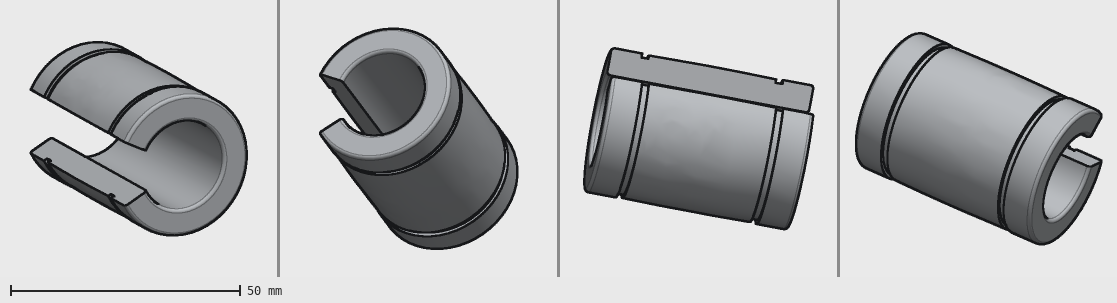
import cadquery as cq
import math

length = 45.0
outer_diameter = 32.0
bore_diameter = 20.0
opening_angle = 54.0

groove_diameter = 30.2
groove_width = 1.55
groove_span = 31.4

crown_end_diameter = 31.7
end_rounding = 0.75

outer_radius = outer_diameter / 2
bore_radius = bore_diameter / 2
groove_radius = groove_diameter / 2
crown_end_radius = crown_end_diameter / 2
half_length = length / 2
groove_outer_x = groove_span / 2
groove_inner_x = groove_outer_x - groove_width


def sleeve():
    """Revolve the wall section, with its grooves and crowned middle, about X."""
    section = (
        cq.Workplane("XY")
        .moveTo(-half_length, bore_radius)
        .lineTo(-half_length, outer_radius)
        .lineTo(-groove_outer_x, outer_radius)
        .lineTo(-groove_outer_x, groove_radius)
        .lineTo(-groove_inner_x, groove_radius)
        .lineTo(-groove_inner_x, crown_end_radius)
        .threePointArc((0, outer_radius), (groove_inner_x, crown_end_radius))
        .lineTo(groove_inner_x, groove_radius)
        .lineTo(groove_outer_x, groove_radius)
        .lineTo(groove_outer_x, outer_radius)
        .lineTo(half_length, outer_radius)
        .lineTo(half_length, bore_radius)
        .close()
    )
    body = section.revolve(360, (0, 0, 0), (1, 0, 0))
    return body.faces("<X or >X").edges().fillet(end_rounding)


def opening():
    """Wedge with its tip on the axis, removing the sector around -Y."""
    reach = outer_diameter
    half_height = reach * math.tan(math.radians(opening_angle / 2))
    return (
        cq.Workplane("YZ")
        .polyline([(0, 0), (-reach, half_height), (-reach, -half_height)])
        .close()
        .extrude(half_length, both=True)
    )


result = sleeve().cut(opening())